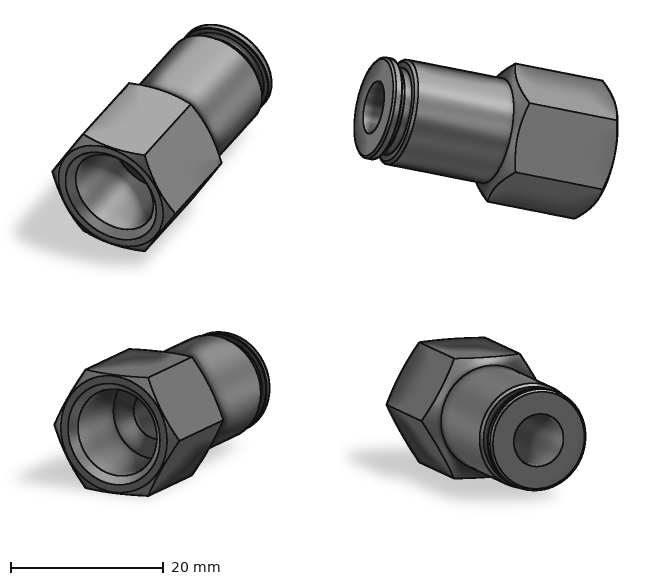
import cadquery as cq
import math

total_length = 31.45
hex_length = 14.5
sleeve_length = 14.0
sleeve_end = hex_length + sleeve_length

across_flats = 16.0
across_corners = across_flats / math.cos(math.radians(30))
corner_chamfer_angle = math.radians(30)
front_face_diameter = 15.7

sleeve_diameter = 14.0
sleeve_chamfer = 0.4

neck_diameter = 11.6
neck_length = 1.0
groove_diameter = 11.4
groove_rim_diameter = 12.1
flange_diameter = 13.5
flange_back_chamfer = 0.3
flange_thickness = 1.2
flange_front_chamfer = 0.1
flange_start = total_length - flange_thickness

through_diameter = 7.0
socket_diameter = 11.65
socket_mouth_diameter = 13.6
socket_depth = 11.0
mouth_chamfer_angle = math.radians(45)
floor_cone_angle = math.radians(60)


def revolve_about_y(half_profile):
    """Turn a list of (radius, y) points into a solid of revolution about Y."""
    return cq.Workplane("XY").polyline(half_profile).close().revolve(360, (0, 0, 0), (0, 1, 0))


def make_hexagon():
    """Hexagonal prism with its corners at +X and -X, turned down to 30 degree cones at both ends."""
    prism = cq.Workplane("XZ").polygon(6, across_corners).extrude(-hex_length)
    corner_radius = across_corners / 2
    front_radius = front_face_diameter / 2
    back_radius = sleeve_diameter / 2
    front_drop = (corner_radius - front_radius) * math.tan(corner_chamfer_angle)
    back_drop = (corner_radius - back_radius) * math.tan(corner_chamfer_angle)
    turned_envelope = revolve_about_y([
        (0, 0),
        (front_radius, 0),
        (corner_radius, front_drop),
        (corner_radius, hex_length - back_drop),
        (back_radius, hex_length),
        (0, hex_length),
    ])
    return prism.intersect(turned_envelope)


def make_sleeve():
    """Round sleeve with a chamfered back edge."""
    radius = sleeve_diameter / 2
    return revolve_about_y([
        (0, hex_length),
        (radius, hex_length),
        (radius, sleeve_end - sleeve_chamfer),
        (radius - sleeve_chamfer, sleeve_end),
        (0, sleeve_end),
    ])


def make_collar():
    """Neck and flange joined by a concave arc groove, with both flange edges chamfered."""
    neck_radius = neck_diameter / 2
    groove_radius = groove_diameter / 2
    groove_rim_radius = groove_rim_diameter / 2
    flange_radius = flange_diameter / 2
    neck_end = sleeve_end + neck_length
    groove_middle = (neck_end + flange_start) / 2
    profile = (
        cq.Workplane("XY")
        .moveTo(0, sleeve_end)
        .lineTo(neck_radius, sleeve_end)
        .lineTo(neck_radius, neck_end)
        .lineTo(groove_radius, neck_end)
        .threePointArc(
            (groove_radius, groove_middle),
            (groove_rim_radius, flange_start),
        )
        .lineTo(flange_radius - flange_front_chamfer, flange_start)
        .lineTo(flange_radius, flange_start + flange_front_chamfer)
        .lineTo(flange_radius, total_length - flange_back_chamfer)
        .lineTo(flange_radius - flange_back_chamfer, total_length)
        .lineTo(0, total_length)
        .close()
    )
    return profile.revolve(360, (0, 0, 0), (0, 1, 0))


def make_bore():
    """Chamfered socket from the hexagon end, narrowing on a cone to the through hole."""
    through_radius = through_diameter / 2
    socket_radius = socket_diameter / 2
    mouth_radius = socket_mouth_diameter / 2
    mouth_depth = (mouth_radius - socket_radius) / math.tan(mouth_chamfer_angle)
    cone_length = (socket_radius - through_radius) / math.tan(floor_cone_angle)
    return revolve_about_y([
        (0, 0),
        (mouth_radius, 0),
        (socket_radius, mouth_depth),
        (socket_radius, socket_depth),
        (through_radius, socket_depth + cone_length),
        (through_radius, total_length),
        (0, total_length),
    ])


outer_body = make_hexagon().union(make_sleeve()).union(make_collar())
result = outer_body.cut(make_bore())